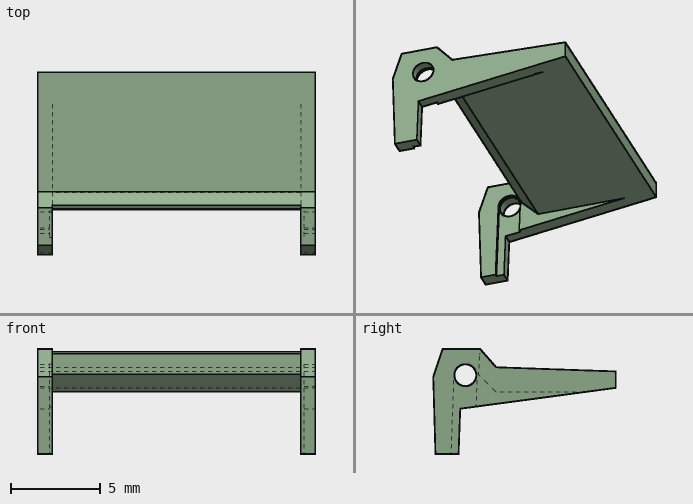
import cadquery as cq
import math


width = 15.5
arm_thickness = 0.82
inner_width = width - 2 * arm_thickness

back_y = 8.4
back_top_z = 0.22
back_bottom_z = -0.71
knee_y = 1.72
knee_z = 0.45
head_back_y = 0.82
head_front_y = -1.27
head_z = 1.47
front_y = -1.8
front_z = -0.1
foot_z = -4.4
foot_front_y = -1.67
foot_back_y = -0.37
heel_y = -0.28
heel_z = -1.88

lip_top_y = 0.96
knee_slope = (head_z - knee_z) / (head_back_y - knee_y)
lip_top_z = knee_z + knee_slope * (lip_top_y - knee_y)
lip_front_y = 0.78
lip_front_z = 1.21
web_bottom_y = 0.73
web_bottom_z = 0.05
hollow_z = -0.93
chamfer_end_y = web_bottom_y + (web_bottom_z - hollow_z)
wedge_slope = (back_bottom_z - heel_z) / (back_y - heel_y)
hollow_end_y = heel_y + (hollow_z - heel_z) / wedge_slope

hole_radius = 0.6
groove_radius = 0.65
groove_depth = 0.17
groove_tilt = math.degrees(math.atan2(heel_y - foot_back_y, heel_z - foot_z))
groove_length = 2 * abs(foot_z)


def extrude_profile(points, length):
    """Extrude a closed (Y, Z) outline along X, centred on X = 0."""
    return cq.Workplane("YZ").polyline(points).close().extrude(length / 2, both=True)


def side_body():
    return extrude_profile(
        [
            (back_y, back_bottom_z),
            (back_y, back_top_z),
            (knee_y, knee_z),
            (head_back_y, head_z),
            (head_front_y, head_z),
            (front_y, front_z),
            (foot_front_y, foot_z),
            (foot_back_y, foot_z),
            (heel_y, heel_z),
        ],
        width,
    )


def space_between_arms():
    """Everything in front of and below the flap, between the two arms."""
    clear_y = front_y - 0.15
    clear_top_z = head_z + 0.15
    clear_bottom_z = foot_z - 0.15
    return extrude_profile(
        [
            (lip_top_y, clear_top_z),
            (lip_top_y, lip_top_z),
            (lip_front_y, lip_front_z),
            (web_bottom_y, web_bottom_z),
            (chamfer_end_y, hollow_z),
            (hollow_end_y, hollow_z),
            (hollow_end_y, clear_bottom_z),
            (clear_y, clear_bottom_z),
            (clear_y, clear_top_z),
        ],
        inner_width,
    )


def pin_grooves():
    """Round-topped grooves running down both inner arm faces, parallel to the back of the leg."""
    grooved_width = inner_width + 2 * groove_depth
    groove = (
        cq.Workplane("YZ")
        .moveTo(groove_radius, 0)
        .threePointArc((0, groove_radius), (-groove_radius, 0))
        .lineTo(-groove_radius, -groove_length)
        .lineTo(groove_radius, -groove_length)
        .close()
        .extrude(grooved_width / 2, both=True)
        .rotate((0, 0, 0), (1, 0, 0), -groove_tilt)
    )
    space_core = cq.Workplane("YZ").rect(4 * width, 4 * width).extrude(inner_width / 2, both=True)
    return groove.cut(space_core)


def pivot_holes():
    return cq.Workplane("YZ").circle(hole_radius).extrude(width, both=True)


result = side_body().cut(space_between_arms()).cut(pin_grooves()).cut(pivot_holes())